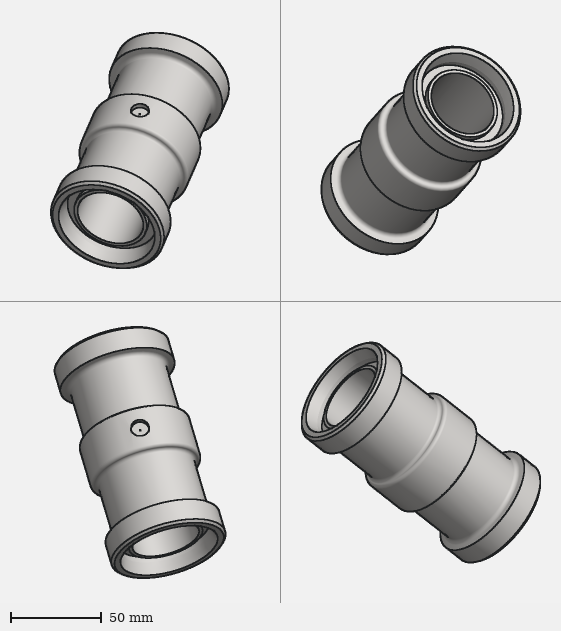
import cadquery as cq
import math

length = 124.0
bore_diameter = 38.0
neck_diameter = 55.0
band_diameter = 63.0
collar_diameter = 65.42

collar_width = 14.0
collar_back_angle = 10.0
collar_chamfer_length = 1.5
collar_chamfer_height = 1.5
collar_root_radius = 2.5

band_foot_width = 30.0
band_blend_radius = (band_diameter - neck_diameter) / 4

groove_diameter = 51.8
socket_half_angle = 15.0
cone_depth = 7.0
lip_diameter = 42.0
groove_depth = 10.5

port_diameter = 10.0
port_depth = 3.0
pin_hole_diameter = 0.5

end = length / 2
bore_radius = bore_diameter / 2
neck_radius = neck_diameter / 2
band_radius = band_diameter / 2
collar_radius = collar_diameter / 2
collar_back = end - collar_width
band_foot = band_foot_width / 2


def arc_point(center_radius, center_y, radius, angle):
    """Point on an arc, at an angle in degrees from the outward radial direction toward +Y."""
    turn = math.radians(angle)
    return (center_radius + radius * math.cos(turn), center_y + radius * math.sin(turn))


def turned_half():
    """Solid of revolution from the edge of the band to the +Y end, before any cuts."""
    blend = band_blend_radius
    root = collar_root_radius
    slope = math.radians(collar_back_angle)
    root_center_radius = neck_radius + root
    root_center_y = (
        collar_back - (collar_radius - root_center_radius) * math.tan(slope) - root / math.cos(slope)
    )
    band_face = band_foot - blend
    profile = (
        cq.Workplane("XY")
        .moveTo(0, band_face - blend)
        .lineTo(band_radius, band_face - blend)
        .threePointArc(
            arc_point(band_radius - blend, band_face - blend, blend, 45),
            (band_radius - blend, band_face),
        )
        .threePointArc(
            arc_point(neck_radius + blend, band_foot, blend, 225),
            (neck_radius, band_foot),
        )
        .lineTo(neck_radius, root_center_y)
        .threePointArc(
            arc_point(root_center_radius, root_center_y, root, 135),
            arc_point(root_center_radius, root_center_y, root, 90 + collar_back_angle),
        )
        .lineTo(collar_radius, collar_back)
        .lineTo(collar_radius, end - collar_chamfer_length)
        .lineTo(collar_radius - collar_chamfer_height, end)
        .lineTo(0, end)
        .close()
    )
    return profile.revolve(360, (0, 0, 0), (0, 1, 0))


def socket_cutter():
    """Material removed from the +Y end: sealing cone and groove around the lip."""
    inner_radius = groove_diameter / 2
    lip_radius = lip_diameter / 2
    mouth_radius = inner_radius + cone_depth * math.tan(math.radians(socket_half_angle))
    profile = (
        cq.Workplane("XY")
        .moveTo(0, end)
        .lineTo(mouth_radius, end)
        .lineTo(inner_radius, end - cone_depth)
        .lineTo(inner_radius, end - groove_depth)
        .lineTo(lip_radius, end - groove_depth)
        .lineTo(lip_radius, end - cone_depth)
        .lineTo(0, end - cone_depth)
        .close()
    )
    return profile.revolve(360, (0, 0, 0), (0, 1, 0))


def band_core():
    """Straight cylindrical middle of the band."""
    half_width = band_foot - 2 * band_blend_radius
    return cq.Workplane("XZ").circle(band_radius).extrude(half_width, both=True)


def bore_cutter():
    """Through bore along the whole part."""
    return cq.Workplane("XZ").circle(bore_radius).extrude(end, both=True)


def port_cutter():
    """Blind port on top of the band together with its central pin hole."""
    port = (
        cq.Workplane("XY")
        .workplane(offset=band_radius - port_depth)
        .circle(port_diameter / 2)
        .extrude(port_depth)
    )
    pin_hole = cq.Workplane("XY").circle(pin_hole_diameter / 2).extrude(band_radius)
    return port.union(pin_hole)


half = turned_half().cut(socket_cutter())
body = band_core().union(half).union(half.mirror("XZ"))
result = body.cut(bore_cutter()).cut(port_cutter())